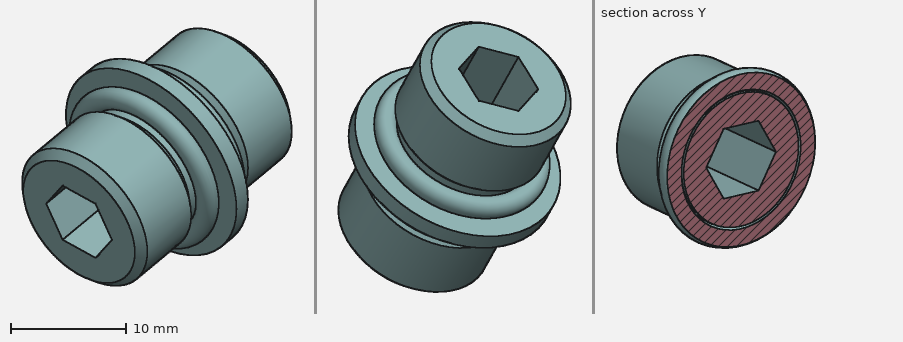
import cadquery as cq
import math

length = 21.35
flange_diameter = 19.05
flange_thickness = 1.58

body_diameter = 14.0
end_chamfer = 0.77

neck_diameter = 12.23
neck_end = 3.0

ring_outer_diameter = 16.15
ring_section_diameter = 1.98

hex_across_flats = 6.35

half_length = length / 2
half_flange = flange_thickness / 2
flange_radius = flange_diameter / 2
body_radius = body_diameter / 2
neck_radius = neck_diameter / 2
shoulder_end = neck_end + body_radius - neck_radius


def make_body():
    """Revolve the stepped profile, symmetric about the flange, around Y."""
    upper_profile = [
        (flange_radius, half_flange),
        (neck_radius, half_flange),
        (neck_radius, neck_end),
        (body_radius, shoulder_end),
        (body_radius, half_length - end_chamfer),
        (body_radius - end_chamfer, half_length),
        (0, half_length),
    ]
    lower_profile = [(radius, -y) for radius, y in reversed(upper_profile)]
    return (
        cq.Workplane("XY")
        .polyline(upper_profile + lower_profile)
        .close()
        .revolve(360, (0, 0, 0), (0, 1, 0))
    )


def make_ring(side):
    """O-ring touching the flange on the given side (+1 or -1)."""
    section_radius = ring_section_diameter / 2
    center_radius = ring_outer_diameter / 2 - section_radius
    center_y = side * (half_flange + section_radius)
    return (
        cq.Workplane("XY")
        .center(center_radius, center_y)
        .circle(section_radius)
        .revolve(360, (-center_radius, 0, 0), (-center_radius, 1, 0))
    )


def make_hex_socket():
    """Through hexagonal prism with two corners on the X axis."""
    across_corners = hex_across_flats / math.cos(math.pi / 6)
    return cq.Workplane("XZ").polygon(6, across_corners).extrude(half_length, both=True)


result = make_body()
for side in (-1, 1):
    result = result.union(make_ring(side))
result = result.cut(make_hex_socket())